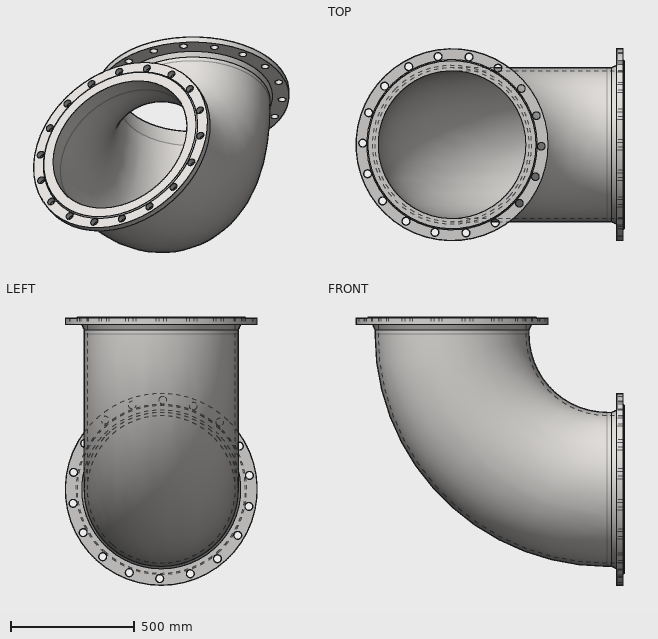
import cadquery as cq

pipe_od = 626.4
bore = 600.0
face_to_axis = 700.0

flange_od = 780.0
raised_face_height = 5.0
raised_face_tip_od = 682.0
raised_face_root_od = 692.0
flange_back_depth = 31.0
hub_od = 646.0
hub_end_depth = 52.0
bend_start_depth = 70.0

bolt_count = 18
bolt_circle = 725.0
bolt_hole = 31.0
bolt_twist = 1.0

bend_radius = face_to_axis - bend_start_depth

top_end = cq.Plane(origin=(0, 0, face_to_axis), xDir=(1, 0, 0), normal=(0, 0, 1))
side_end = cq.Plane(origin=(face_to_axis, 0, 0), xDir=(0, 0, -1), normal=(1, 0, 0))


def bend(diameter):
    """Solid quarter-turn bend of round section, from the top end to the side end."""
    return (
        cq.Workplane("XY", origin=(0, 0, bend_radius))
        .circle(diameter / 2)
        .revolve(90, (bend_radius, 0), (bend_radius, -1))
    )


def flange_blank(plane):
    """Solid welding-neck flange with raised face and a short straight pipe stub."""
    profile = [
        (0, 0),
        (raised_face_tip_od / 2, 0),
        (raised_face_root_od / 2, -raised_face_height),
        (flange_od / 2, -raised_face_height),
        (flange_od / 2, -flange_back_depth),
        (hub_od / 2, -flange_back_depth),
        (pipe_od / 2, -hub_end_depth),
        (pipe_od / 2, -bend_start_depth),
        (0, -bend_start_depth),
    ]
    section = cq.Plane(origin=plane.origin, xDir=plane.xDir, normal=plane.yDir.multiply(-1))
    return cq.Workplane(section).polyline(profile).close().revolve(360, (0, 0), (0, 1))


def end_bore(plane):
    """Cutter for the straight bore through one flange and its stub."""
    return cq.Workplane(plane).circle(bore / 2).extrude(-bend_start_depth)


def bolt_holes(plane, start_angle):
    """Cutter for the ring of bolt holes through one flange, the first at start_angle."""
    return (
        cq.Workplane(plane)
        .polarArray(bolt_circle / 2, start_angle, 360, bolt_count)
        .circle(bolt_hole / 2)
        .extrude(-flange_back_depth)
    )


def flange_end(plane, start_angle):
    """Complete end: flange and stub, bored through and drilled for bolts."""
    return flange_blank(plane).cut(end_bore(plane)).cut(bolt_holes(plane, start_angle))


result = (
    bend(pipe_od)
    .cut(bend(bore))
    .union(flange_end(top_end, -bolt_twist))
    .union(flange_end(side_end, bolt_twist))
)